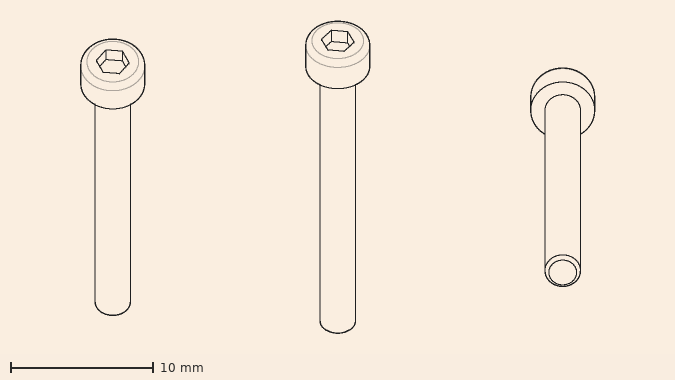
import cadquery as cq
import math

total_length = 27.5
head_diameter = 4.5
head_height = 2.5
head_edge_radius = 0.45
shank_diameter = 2.5
tip_chamfer = 0.28
socket_across_flats = 2.0
socket_depth = 1.1

shank_length = total_length - head_height
socket_across_corners = socket_across_flats / math.cos(math.pi / 6)

shank = (
    cq.Workplane("XY")
    .circle(shank_diameter / 2)
    .extrude(shank_length)
    .faces("<Z")
    .chamfer(tip_chamfer)
)

head = (
    cq.Workplane("XY")
    .workplane(offset=shank_length)
    .circle(head_diameter / 2)
    .extrude(head_height)
    .faces(">Z")
    .edges()
    .fillet(head_edge_radius)
)

socket = (
    cq.Workplane("XY")
    .workplane(offset=total_length - socket_depth)
    .polygon(6, socket_across_corners)
    .extrude(socket_depth)
)

result = shank.union(head).cut(socket)